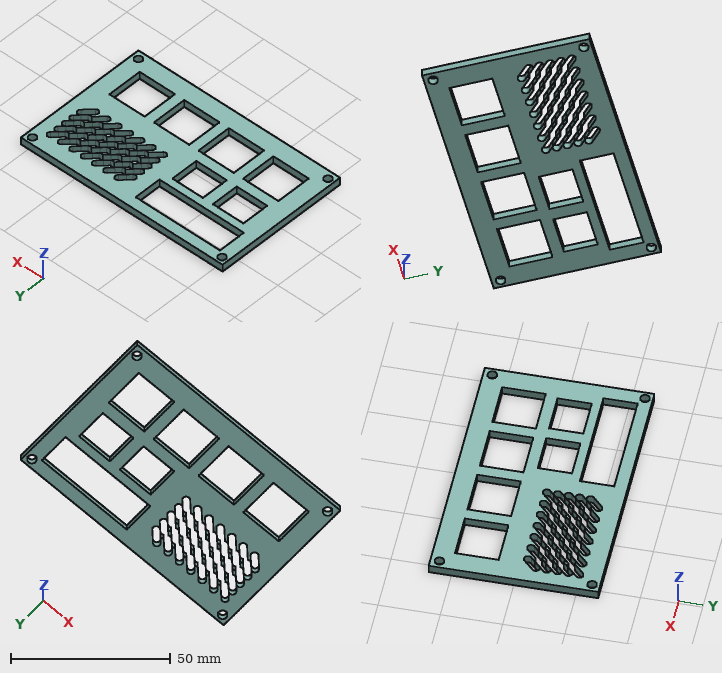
import cadquery as cq

plate_length = 86.2
plate_width = 54.43
plate_thickness = 3.0

screw_hole_diameter = 3.0
screw_hole_inset = 2.5
screw_hole_spacing_x = 81.0
screw_hole_spacing_y = 49.0

display_left = 5.1
display_bottom = 39.1
display_length = 36.0
display_width = 11.0

small_window_count = 2
small_window_left = 8.1
small_window_bottom = 25.0
small_window_length = 13.0
small_window_width = 11.0
small_window_pitch = 17.3

large_window_count = 4
large_window_left = 7.0
large_window_bottom = 7.0
large_window_length = 15.05
large_window_width = 14.0
large_window_pitch = 19.05

grille_columns = 7
grille_rows = 5
grille_span_x = 29.0
grille_span_y = 14.0
grille_first_x = 49.6
grille_first_y = 31.56
grille_pitch_x = grille_span_x / (grille_columns - 1)
grille_pitch_y = grille_span_y / (grille_rows - 1)
slot_length = 7.05
slot_width = 2.45
slot_angle = 45.0


def make_plate():
    return cq.Workplane("XY").box(plate_length, plate_width, plate_thickness, centered=False)


def window_row(left, bottom, length, width, count=1, pitch=0.0):
    """Cutter for a row of equal rectangular windows running along X."""
    centres = [(left + length / 2 + i * pitch, bottom + width / 2) for i in range(count)]
    return cq.Workplane("XY").pushPoints(centres).rect(length, width).extrude(plate_thickness)


def screw_holes():
    """Cutter for the four corner holes."""
    left_x = screw_hole_inset
    top_y = plate_width - screw_hole_inset
    centres = [
        (x, y)
        for x in (left_x, left_x + screw_hole_spacing_x)
        for y in (top_y - screw_hole_spacing_y, top_y)
    ]
    return cq.Workplane("XY").pushPoints(centres).circle(screw_hole_diameter / 2).extrude(plate_thickness)


def cut_grille(body):
    """Cut the slots one column at a time, since slots of neighbouring columns overlap."""
    for column in range(grille_columns):
        x = grille_first_x + column * grille_pitch_x
        centres = [(x, grille_first_y + row * grille_pitch_y) for row in range(grille_rows)]
        slots = (
            cq.Workplane("XY")
            .pushPoints(centres)
            .slot2D(slot_length, slot_width, slot_angle)
            .extrude(plate_thickness)
        )
        body = body.cut(slots)
    return body


plate = make_plate()
plate = plate.cut(screw_holes())
plate = plate.cut(window_row(display_left, display_bottom, display_length, display_width))
plate = plate.cut(window_row(
    small_window_left, small_window_bottom, small_window_length, small_window_width,
    small_window_count, small_window_pitch,
))
plate = plate.cut(window_row(
    large_window_left, large_window_bottom, large_window_length, large_window_width,
    large_window_count, large_window_pitch,
))

result = cut_grille(plate)